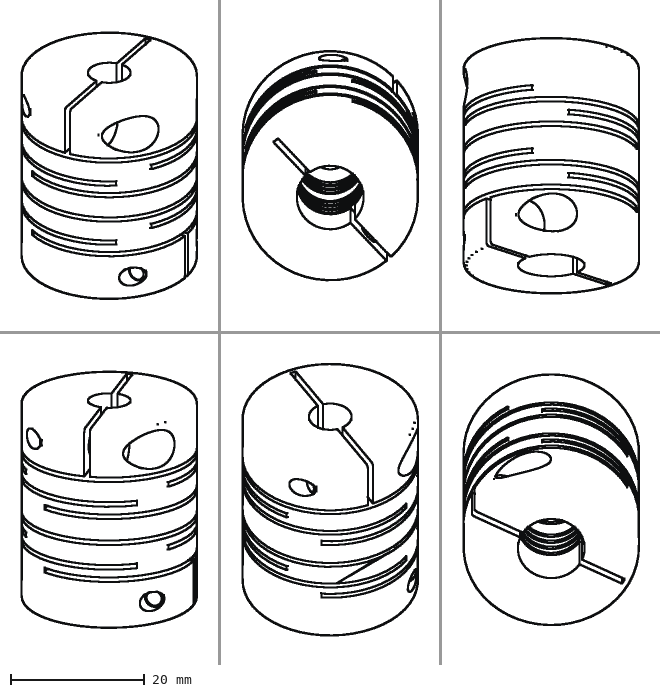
import cadquery as cq

diameter = 26.2
length = 31.5
rim_fillet = 0.5
radius = diameter / 2

upper_bore_diameter = 6.35
lower_bore_diameter = 9.95

hub_length = 7.5
slit_group_shift = 10.0
slit_height = 0.72
slit_pitch = 1.95
web_offset = 7.12
slit_directions = (-90, 90, 180, 0)

clamp_slot_width = 0.88
clamp_slot_end = 12.1
screw_offset = 9.0
screw_depth = hub_length / 2
screw_diameter = 3.0
screw_tip_chamfer = 0.3
screw_tip_x = -8.0
head_bore_diameter = 6.0
head_bore_floor_x = 4.72


def make_body():
    """Round body with rounded rims and a stepped bore."""
    body = cq.Workplane("XY").circle(radius).extrude(length).edges("%CIRCLE").fillet(rim_fillet)
    upper_bore = cq.Workplane("XY").circle(upper_bore_diameter / 2).extrude(length)
    lower_bore = cq.Workplane("XY").circle(lower_bore_diameter / 2).extrude(length - hub_length)
    return body.cut(upper_bore).cut(lower_bore)


def make_slit(top, direction):
    """Slit open toward the given direction in degrees, leaving a web on the far side."""
    slit = cq.Workplane("XY").box(
        radius + web_offset, diameter, slit_height, centered=(False, True, False)
    )
    slit = slit.translate((-web_offset, 0, top - slit_height))
    return slit.rotate((0, 0, 0), (0, 0, 1), direction)


def rod_along_x(rod_diameter, start, end):
    """Cylinder on the screw axis of the upper hub."""
    rod = cq.Workplane("YZ").circle(rod_diameter / 2).extrude(end - start)
    return rod.translate((start, -screw_offset, length - screw_depth))


def upper_clamp_cut():
    """Clamp slot opening toward -Y, screw hole and screw head counterbore."""
    slot = cq.Workplane("XY").box(
        clamp_slot_width, radius + clamp_slot_end, hub_length, centered=(True, False, False)
    )
    slot = slot.translate((0, -radius, length - hub_length))
    hole = rod_along_x(screw_diameter, -radius, 0)
    head_bore = rod_along_x(head_bore_diameter, head_bore_floor_x, radius)
    return slot.union(hole).union(head_bore)


def upper_screw():
    """Screw shank bridging the clamp slot, with a chamfered tip inside its hole."""
    shank = rod_along_x(screw_diameter, screw_tip_x, head_bore_floor_x)
    return shank.faces("<X").chamfer(screw_tip_chamfer)


def to_lower_hub(shape):
    """Move an upper hub feature to the lower hub, a quarter turn round the axis."""
    return shape.rotate((0, 0, 0), (0, 0, 1), 90).translate((0, 0, hub_length - length))


result = make_body()

flexure_top = length - hub_length
for group_top in (flexure_top, flexure_top - slit_group_shift):
    for index, direction in enumerate(slit_directions):
        result = result.cut(make_slit(group_top - index * slit_pitch, direction))

result = result.cut(upper_clamp_cut()).cut(to_lower_hub(upper_clamp_cut()))
result = result.union(upper_screw()).union(to_lower_hub(upper_screw()))